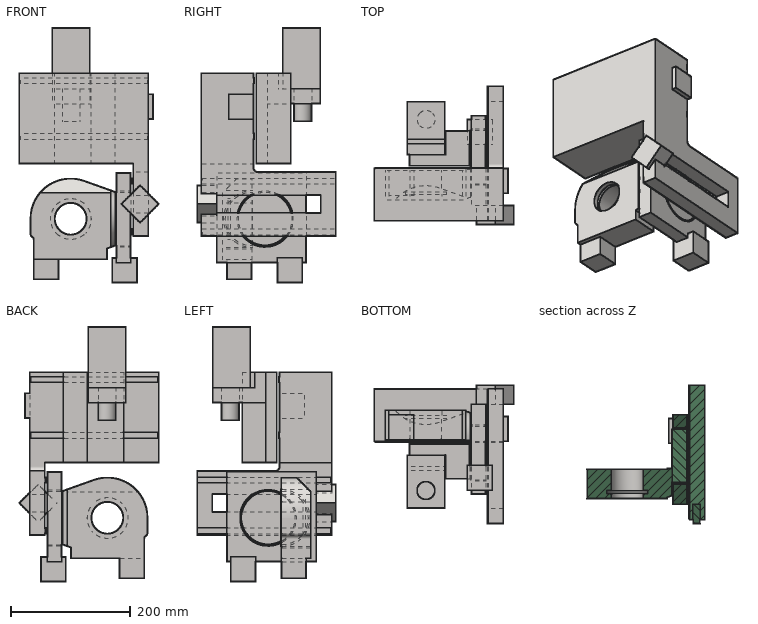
import cadquery as cq
import math

BOX_LENGTH = 217.0
BOX_DEPTH = 88.0
BOX_BOTTOM = 199.8
BOX_TOP = 352.0
ARM_THICKNESS = 25.5
ARM_LEFT = BOX_LENGTH - ARM_THICKNESS
ARM_BACK = 226.5
ARM_BOTTOM = 78.5
ARM_TOP = 186.0
ARM_FILLET = 7.3
RAIL_HEIGHT = 9.5
RAIL_DEPTH = 1.3
RAIL_SETBACK = 1.5
ARM_RAIL_BOTTOMS = (81.0, 166.0)
BOX_RAIL_BOTTOMS = (241.3, 334.5)
WINDOW_BOTTOM = 117.2
WINDOW_TOP = 147.0
WINDOW_BACK = 200.5

BLOCK = 42.0
SIDE_BLOCK_REACH = 8.0
SIDE_BLOCK_BOTTOM = 274.5

BAR_SIDE = 44.5
BAR_RIGHT = 234.5
BAR_X = BAR_RIGHT - BAR_SIDE / math.sqrt(2)
BAR_Z = 132.0
BAR_FRONT = -6.5
BAR_BACK = 26.0

AXIS_Z = 107.5

PLATE_LEFT = 163.0
PLATE_THICKNESS = 24.0
PLATE_RIGHT = PLATE_LEFT + PLATE_THICKNESS
PLATE_SIDE = 150.5
PLATE_FRONT = BAR_BACK
PLATE_BOTTOM = 34.0
PLATE_HOLE_DIAMETER = 94.0
PLATE_BLOCK_LEFT = 156.0
PLATE_BLOCK_FRONT = 128.5

DISC_DIAMETER = 90.0
DISC_Y = 107.5

HOUSING_X = 86.5
HOUSING_RADIUS = 67.5
HOUSING_FRONT = 35.5
HOUSING_BACK = 85.0
HOUSING_BOTTOM = 39.5
HOUSING_RIGHT = 153.5
FOOT_LEFT = 24.5
FOOT_RIGHT = 147.5
STEP_TOP = 82.0
STEP_BOTTOM = 72.0
CHAMFER_START = 151.0
NECK_END = 161.5
NECK_END_RADIUS = DISC_DIAMETER / 2
NECK_OVERHANG = 1.3
NECK_BACK = HOUSING_BACK + NECK_OVERHANG
BORE_DIAMETER = 53.0
MOUTH_DIAMETER = 53.5
MOUTH_DEPTH = 9.0
GROOVE_DIAMETER = 68.5
GROOVE_WIDTH = 4.5
HOUSING_BLOCK_BOTTOM = 5.5

MOTOR_SIDE = 63.5
MOTOR_LEFT = 55.0
MOTOR_FRONT = 137.0
MOTOR_BACK = MOTOR_FRONT + MOTOR_SIDE
MOTOR_TOP = 428.0
BRACKET_BOTTOM = 300.7
BRACKET_THICKNESS = 25.2
MOTOR_BOTTOM = BRACKET_BOTTOM + BRACKET_THICKNESS
UPRIGHT_BACK = 129.5
SHAFT_DIAMETER = 30.0
SHAFT_Y = 170.5
SHAFT_BOTTOM = 271.0

COLUMN_LEFT = 59.0
COLUMN_RIGHT = 160.5
COLUMN_FRONT = 92.5
COLUMN_FACE = 111.2
COLUMN_BACK = 151.0
COLUMN_STEP_LEFT = 119.8


def box(x0, x1, y0, y1, z0, z1):
    """Box between two opposite corners."""
    return cq.Workplane("XY").box(x1 - x0, y1 - y0, z1 - z0, centered=False).translate((x0, y0, z0))


def cylinder_x(diameter, y, x0, x1):
    """Cylinder along X at the height of the spindle axis."""
    return cq.Workplane("YZ", origin=(x0, y, AXIS_Z)).circle(diameter / 2).extrude(x1 - x0)


def cylinder_y(diameter, y0, y1):
    """Cylinder along Y on the axis of the housing bore."""
    return cq.Workplane("XZ", origin=(HOUSING_X, y0, AXIS_Z)).circle(diameter / 2).extrude(y0 - y1)


def make_bar():
    """Square bar turned onto its corner."""
    half = BAR_SIDE / 2
    bar = box(-half, half, BAR_FRONT, BAR_BACK, -half, half)
    return bar.rotate((0, 0, 0), (0, 1, 0), 45).translate((BAR_X, 0, BAR_Z))


def make_frame():
    """Head box with a long arm below its right end, rails and a side block."""
    arm_side = (
        cq.Workplane("YZ", origin=(ARM_LEFT, 0, 0))
        .moveTo(0, ARM_BOTTOM)
        .lineTo(ARM_BACK, ARM_BOTTOM)
        .lineTo(ARM_BACK, ARM_TOP)
        .lineTo(BOX_DEPTH + ARM_FILLET, ARM_TOP)
        .radiusArc((BOX_DEPTH, ARM_TOP + ARM_FILLET), ARM_FILLET)
        .lineTo(BOX_DEPTH, BOX_BOTTOM)
        .lineTo(0, BOX_BOTTOM)
        .close()
        .extrude(ARM_THICKNESS)
    )
    frame = box(0, BOX_LENGTH, 0, BOX_DEPTH, BOX_BOTTOM, BOX_TOP).union(arm_side)
    for z in ARM_RAIL_BOTTOMS:
        frame = frame.union(box(
            ARM_LEFT - RAIL_DEPTH, ARM_LEFT,
            RAIL_SETBACK, ARM_BACK,
            z, z + RAIL_HEIGHT,
        ))
    for z in BOX_RAIL_BOTTOMS:
        frame = frame.union(box(
            RAIL_SETBACK, BOX_LENGTH - RAIL_SETBACK,
            BOX_DEPTH, BOX_DEPTH + RAIL_DEPTH,
            z, z + RAIL_HEIGHT,
        ))
    side_block = box(
        BOX_LENGTH, BOX_LENGTH + SIDE_BLOCK_REACH,
        BOX_DEPTH - BLOCK, BOX_DEPTH,
        SIDE_BLOCK_BOTTOM, SIDE_BLOCK_BOTTOM + BLOCK,
    )
    window = box(ARM_LEFT, BOX_LENGTH, BAR_BACK, WINDOW_BACK, WINDOW_BOTTOM, WINDOW_TOP)
    return frame.union(side_block).cut(window).cut(make_bar())


def make_plate():
    """Square plate with a clearance hole for the disc and a block on its lower edge."""
    plate = box(
        PLATE_LEFT, PLATE_RIGHT,
        PLATE_FRONT, PLATE_FRONT + PLATE_SIDE,
        PLATE_BOTTOM, PLATE_BOTTOM + PLATE_SIDE,
    )
    block = box(
        PLATE_BLOCK_LEFT, PLATE_BLOCK_LEFT + BLOCK,
        PLATE_BLOCK_FRONT, PLATE_BLOCK_FRONT + BLOCK,
        0, BLOCK,
    )
    return plate.cut(cylinder_x(PLATE_HOLE_DIAMETER, DISC_Y, PLATE_LEFT, PLATE_RIGHT)).union(block)


def make_disc():
    """Disc that turns in the plate and meets the neck of the housing."""
    return cylinder_x(DISC_DIAMETER, DISC_Y, NECK_END, PLATE_RIGHT)


def make_housing():
    """Rounded housing that narrows to a half-cone neck, with a grooved bore and a block below."""
    depth = HOUSING_BACK - HOUSING_FRONT

    run = NECK_END - HOUSING_X
    tangent_angle = math.atan2(NECK_END_RADIUS, run) + math.acos(
        HOUSING_RADIUS / math.hypot(run, NECK_END_RADIUS)
    )
    tangent_x = HOUSING_X + HOUSING_RADIUS * math.cos(tangent_angle)
    tangent_z = AXIS_Z + HOUSING_RADIUS * math.sin(tangent_angle)

    def flank(x):
        """Half height of the flanks at a place along X."""
        return NECK_END_RADIUS + (NECK_END - x) / math.tan(tangent_angle)

    round_left = HOUSING_X - HOUSING_RADIUS
    arc_angle = (math.pi + tangent_angle) / 2
    arc_middle = (
        HOUSING_X + HOUSING_RADIUS * math.cos(arc_angle),
        AXIS_Z + HOUSING_RADIUS * math.sin(arc_angle),
    )
    step_middle = ((round_left + FOOT_LEFT) / 2, (STEP_TOP + STEP_BOTTOM) / 2)
    body = (
        cq.Workplane("XZ", origin=(0, HOUSING_BACK, 0))
        .moveTo(FOOT_LEFT, HOUSING_BOTTOM)
        .lineTo(FOOT_RIGHT, HOUSING_BOTTOM)
        .lineTo(FOOT_RIGHT, AXIS_Z - flank(FOOT_RIGHT))
        .lineTo(HOUSING_RIGHT, AXIS_Z - flank(HOUSING_RIGHT))
        .lineTo(HOUSING_RIGHT, AXIS_Z + flank(HOUSING_RIGHT))
        .lineTo(tangent_x, tangent_z)
        .threePointArc(arc_middle, (round_left, AXIS_Z))
        .lineTo(round_left, STEP_TOP)
        .tangentArcPoint(step_middle, relative=False)
        .tangentArcPoint((FOOT_LEFT, STEP_BOTTOM), relative=False)
        .close()
        .extrude(depth)
    )

    slope = (
        cq.Workplane("YZ", origin=(round_left, 0, 0))
        .moveTo(HOUSING_FRONT, CHAMFER_START)
        .lineTo(HOUSING_BACK, CHAMFER_START + depth)
        .lineTo(HOUSING_FRONT, CHAMFER_START + depth)
        .close()
        .extrude(HOUSING_RIGHT - round_left)
    )

    neck_radius = flank(HOUSING_RIGHT)
    cone = (
        cq.Workplane("XZ", origin=(0, HOUSING_BACK, 0))
        .moveTo(HOUSING_RIGHT, AXIS_Z)
        .lineTo(HOUSING_RIGHT, AXIS_Z + neck_radius)
        .lineTo(NECK_END, AXIS_Z + NECK_END_RADIUS)
        .lineTo(NECK_END, AXIS_Z)
        .close()
        .revolve(360, (0, AXIS_Z, 0), (1, AXIS_Z, 0))
    )
    neck = cone.intersect(
        box(
            HOUSING_RIGHT, NECK_END,
            HOUSING_BACK - neck_radius, NECK_BACK,
            AXIS_Z - neck_radius, AXIS_Z + neck_radius,
        )
    )

    block = box(
        FOOT_LEFT, FOOT_LEFT + BLOCK,
        HOUSING_BACK - BLOCK, HOUSING_BACK,
        HOUSING_BLOCK_BOTTOM, HOUSING_BOTTOM,
    )
    bore = cylinder_y(BORE_DIAMETER, HOUSING_FRONT, HOUSING_BACK)
    groove_front = HOUSING_FRONT + MOUTH_DEPTH
    mouth = cylinder_y(MOUTH_DIAMETER, HOUSING_FRONT, groove_front)
    groove = cylinder_y(GROOVE_DIAMETER, groove_front, groove_front + GROOVE_WIDTH)
    return body.cut(slope).union(neck).union(block).cut(bore).cut(mouth).cut(groove)


def make_shaft():
    """Motor shaft down through the bracket."""
    centre = (MOTOR_LEFT + MOTOR_SIDE / 2, SHAFT_Y, SHAFT_BOTTOM)
    return cq.Workplane("XY", origin=centre).circle(SHAFT_DIAMETER / 2).extrude(MOTOR_BOTTOM - SHAFT_BOTTOM)


def make_motor():
    """Square motor standing on the bracket, with its shaft below."""
    right = MOTOR_LEFT + MOTOR_SIDE
    return box(MOTOR_LEFT, right, MOTOR_FRONT, MOTOR_BACK, MOTOR_BOTTOM, MOTOR_TOP).union(make_shaft())


def make_bracket():
    """L-shaped bracket that carries the motor on the column."""
    right = MOTOR_LEFT + MOTOR_SIDE
    base = box(MOTOR_LEFT, right, COLUMN_FACE, MOTOR_BACK, BRACKET_BOTTOM, MOTOR_BOTTOM)
    upright = box(MOTOR_LEFT, right, COLUMN_FACE, UPRIGHT_BACK, MOTOR_BOTTOM, BOX_TOP)
    return base.union(upright).cut(make_shaft())


def make_column():
    """Upright plate with a thick right half beside the bracket."""
    plate = box(COLUMN_LEFT, COLUMN_RIGHT, COLUMN_FRONT, COLUMN_FACE, BOX_BOTTOM, BOX_TOP)
    step = box(COLUMN_STEP_LEFT, COLUMN_RIGHT, COLUMN_FACE, COLUMN_BACK, BOX_BOTTOM, BOX_TOP)
    return plate.union(step)


frame = make_frame()
bar = make_bar()
plate = make_plate()
disc = make_disc()
housing = make_housing()
motor = make_motor()
bracket = make_bracket()
column = make_column()

result = cq.Compound.makeCompound([
    frame.val(),
    bar.val(),
    plate.val(),
    disc.val(),
    housing.val(),
    motor.val(),
    bracket.val(),
    column.val(),
])